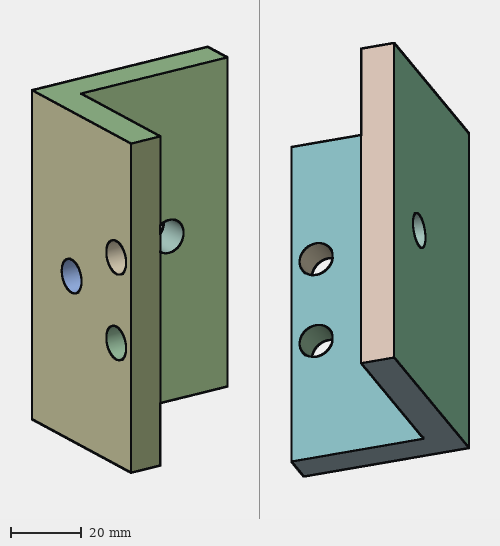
import cadquery as cq

width = 50.0
depth = 60.0
height = 100.0
thickness = 10.0

hole_diameter = 10.0
mid_height = height / 2
front_center_x = 20.0
front_pair_x = 42.5
front_pair_spacing = 26.0
side_hole_y = 40.0


def hole_along_y(x, z):
    """Cutter through the leg that lies along X."""
    return cq.Workplane("XZ", origin=(x, 0, z)).circle(hole_diameter / 2).extrude(-thickness)


def hole_along_x(y, z):
    """Cutter through the leg that lies along Y."""
    return cq.Workplane("YZ", origin=(0, y, z)).circle(hole_diameter / 2).extrude(thickness)


front_leg = cq.Workplane("XY").box(width, thickness, height, centered=False)
side_leg = cq.Workplane("XY").box(thickness, depth, height, centered=False)
result = front_leg.union(side_leg)

result = result.cut(hole_along_y(front_center_x, mid_height))
for side in (-1, 1):
    result = result.cut(hole_along_y(front_pair_x, mid_height + side * front_pair_spacing / 2))

result = result.cut(hole_along_x(side_hole_y, mid_height))